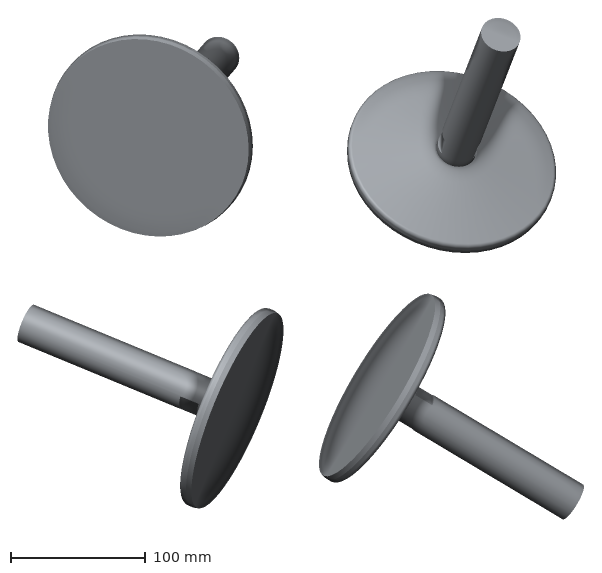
import cadquery as cq
import math

total_length = 174.0
plate_radius = 158.0 / 2
stem_radius = 30.0 / 2

sole_inset = 0.9
taper_height = 4.0
rim_height = 7.0
rim_round = 3.0
cone_angle = math.radians(10)
cone_height = 20.5

flats_width = 24.4
flats_start = 26.1
flats_length = 15.0


def rim_round_point(angle):
    """Point on the rim rounding at an angle above the radial direction."""
    return (
        plate_radius - rim_round + rim_round * math.cos(angle),
        rim_height + rim_round * math.sin(angle),
    )


def foot_body():
    """Plate, cone and stem revolved around the Y axis."""
    round_end_angle = math.pi / 2 - cone_angle
    cone_start = rim_round_point(round_end_angle)
    ledge_radius = cone_start[0] - (cone_height - cone_start[1]) / math.tan(cone_angle)
    return (
        cq.Workplane("XY")
        .lineTo(plate_radius - sole_inset, 0)
        .lineTo(plate_radius, taper_height)
        .lineTo(plate_radius, rim_height)
        .threePointArc(rim_round_point(round_end_angle / 2), cone_start)
        .lineTo(ledge_radius, cone_height)
        .lineTo(stem_radius, cone_height)
        .lineTo(stem_radius, total_length)
        .lineTo(0, total_length)
        .close()
        .revolve(360, (0, 0, 0), (0, 1, 0))
    )


def flat_cutter(side):
    """Block that cuts one wrench flat; side is -1 or 1 along X."""
    block_size = 2 * stem_radius
    return cq.Workplane("XY").box(block_size, flats_length, block_size).translate(
        (side * (flats_width + block_size) / 2, flats_start + flats_length / 2, 0)
    )


result = foot_body()
for side in (-1, 1):
    result = result.cut(flat_cutter(side))